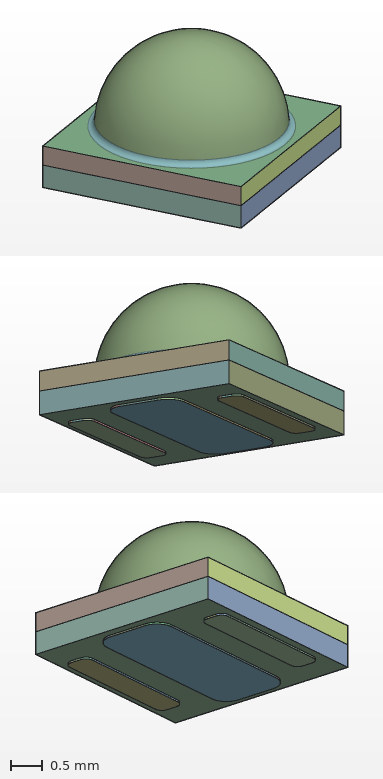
import cadquery as cq
import math

side = 3.5
total_height = 2.29

pad_thickness = 0.03
substrate_top = 0.42
lens_plate_top = 0.75

dome_radius = total_height - lens_plate_top
foot_fillet_radius = 0.1

pad_edge_reach = 1.605
outer_pad_width = 0.46
outer_pad_length = 2.4
outer_pad_corner = 0.133
center_pad_width = 1.31
center_pad_length = 2 * pad_edge_reach
center_pad_corner = 0.3
outer_pad_x = pad_edge_reach - outer_pad_width / 2


def square_plate(bottom, top):
    """Square plate filling the full footprint between two heights."""
    return cq.Workplane("XY").workplane(offset=bottom).rect(side, side).extrude(top - bottom)


def solder_pad(center_x, width, length, corner_radius):
    """Thin pad with rounded corners, standing on the Z = 0 plane."""
    return (
        cq.Workplane("XY")
        .center(center_x, 0)
        .rect(width, length)
        .extrude(pad_thickness)
        .edges("|Z")
        .fillet(corner_radius)
    )


def make_substrate():
    """Lower plate with its three solder pads underneath."""
    substrate = square_plate(pad_thickness, substrate_top)
    substrate = substrate.union(solder_pad(0, center_pad_width, center_pad_length, center_pad_corner))
    for pad_x in (-outer_pad_x, outer_pad_x):
        substrate = substrate.union(solder_pad(pad_x, outer_pad_width, outer_pad_length, outer_pad_corner))
    return substrate


def make_dome():
    """Hemisphere whose foot flares onto the plate in a tangent concave arc."""
    centers_distance = dome_radius + foot_fillet_radius
    foot_radius = math.sqrt(centers_distance**2 - foot_fillet_radius**2)
    tangent_angle = math.asin(foot_fillet_radius / centers_distance)
    dome_mid_angle = (tangent_angle + math.pi / 2) / 2
    fillet_mid_angle = (math.pi + tangent_angle + 1.5 * math.pi) / 2

    def dome_point(angle):
        return (dome_radius * math.cos(angle), lens_plate_top + dome_radius * math.sin(angle))

    fillet_mid_point = (
        foot_radius + foot_fillet_radius * math.cos(fillet_mid_angle),
        lens_plate_top + foot_fillet_radius * (1 + math.sin(fillet_mid_angle)),
    )
    return (
        cq.Workplane("XZ")
        .moveTo(0, lens_plate_top)
        .lineTo(foot_radius, lens_plate_top)
        .threePointArc(fillet_mid_point, dome_point(tangent_angle))
        .threePointArc(dome_point(dome_mid_angle), (0, total_height))
        .close()
        .revolve(360, (0, 0, 0), (0, 1, 0))
    )


def make_lens():
    """Upper plate and dome in one piece."""
    return square_plate(substrate_top, lens_plate_top).union(make_dome())


substrate = make_substrate()
lens = make_lens()

result = cq.Compound.makeCompound([substrate.val(), lens.val()])